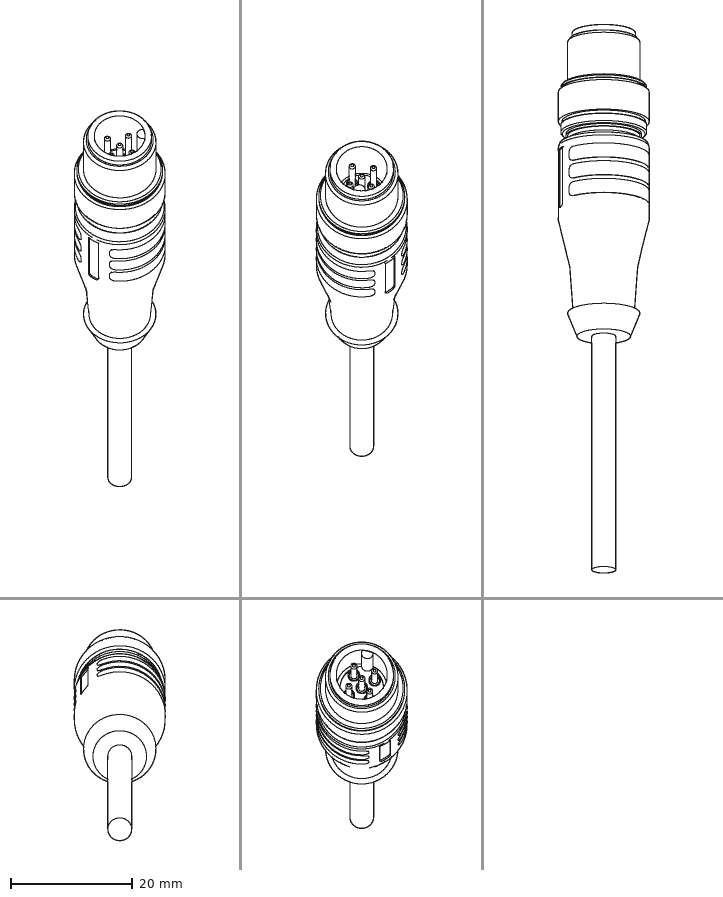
import cadquery as cq
import math

TOTAL_HEIGHT = 92.0
CABLE_RADIUS = 4.0 / 2

GRIP_RADIUS = 15.0 / 2
GRIP_TOP = 73.0
GRIP_BOTTOM = 60.0
GRIP_EDGE_WIDTH = 0.2
GRIP_EDGE_HEIGHT = 0.55

TAPER_END_RADIUS = 5.6
TAPER_END_Z = 52.0
FLARE_NECK_RADIUS = 5.1
FLARE_RADIUS = 6.0
FLARE_TOP = 44.0
FLARE_BOTTOM_RADIUS = 4.4
FLARE_BOTTOM = 40.0

NECK_RADIUS = 4.8
FLANGE_RADIUS = 6.0
FLANGE_BOTTOM = 73.7
FLANGE_STEP_RADIUS = 6.3
FLANGE_STEP_Z = 74.3

RING_RADIUS = GRIP_RADIUS
RING_TOP = 81.9
RING_BOTTOM = 76.8
COLLAR_RADIUS = 7.1
COLLAR_TOP = 83.1
COLLAR_BOTTOM = 74.7
COLLAR_CHAMFER = 0.3
COLLAR_GROOVE_RADIUS = 6.9
COLLAR_GROOVE_HEIGHT = 0.55

SLEEVE_RADIUS = 6.0
SHOULDER_BOTTOM = 90.4
SHOULDER_TOP_RADIUS = 5.5
TIP_RADIUS = 5.2
TIP_BOTTOM = 91.0
BORE_RADIUS = 8.4 / 2
BORE_FLOOR = 83.2
FLOOR_STEP_RADIUS = 3.6
FLOOR_STEP_HEIGHT = 0.5
INSERT_TOP = BORE_FLOOR + FLOOR_STEP_HEIGHT
EMBED_DEPTH = 0.9

PIN_RADIUS = 0.51
PIN_TOP = 89.7
PIN_TIP_CHAMFER = 0.3
PIN_SPACING = 2.5
PIN_SEAT_RADIUS = 1.9 / 2
PIN_SEAT_DEPTH = 0.5
PIN_SEAT_CHAMFER = 0.2
KEY_RADIUS = 1.9 / 2
KEY_TOP = 91.7
KEY_ANGLE = 45.0
KEY_OFFSET = 3.9

GROOVE_FLOOR_RADIUS = 7.0
GROOVE_COUNT = 3
GROOVE_PITCH = 3.0
GROOVE_HEIGHT = 2.4
GROOVE_TOP_CENTER_Z = 69.8
GROOVE_END_X = 2.85
GROOVE_END_ROUND = 0.9
GROOVE_FLOOR_FILLET = 0.3

MARKER_WIDTH = 2.0
MARKER_TOP = 71.7
MARKER_BOTTOM = 61.55
MARKER_CORNER_RADIUS = 0.6
MARKER_DEPTH = 0.3


def cylinder(radius, bottom, top, x=0.0, y=0.0):
    """Vertical cylinder between two heights."""
    return cq.Workplane("XY", origin=(x, y, bottom)).circle(radius).extrude(top - bottom)


def turned_body():
    """Cable, strain relief, grip, ring and sleeve as one revolved profile."""
    profile = [
        (0, 0),
        (CABLE_RADIUS, 0),
        (CABLE_RADIUS, FLARE_BOTTOM),
        (FLARE_BOTTOM_RADIUS, FLARE_BOTTOM),
        (FLARE_RADIUS, FLARE_TOP),
        (FLARE_NECK_RADIUS, FLARE_TOP),
        (TAPER_END_RADIUS, TAPER_END_Z),
        (GRIP_RADIUS, GRIP_BOTTOM),
        (GRIP_RADIUS, GRIP_TOP - GRIP_EDGE_HEIGHT),
        (GRIP_RADIUS - GRIP_EDGE_WIDTH, GRIP_TOP),
        (NECK_RADIUS, GRIP_TOP),
        (NECK_RADIUS, FLANGE_BOTTOM),
        (FLANGE_RADIUS, FLANGE_BOTTOM),
        (FLANGE_RADIUS, FLANGE_STEP_Z),
        (FLANGE_STEP_RADIUS, FLANGE_STEP_Z),
        (FLANGE_STEP_RADIUS, COLLAR_BOTTOM),
        (COLLAR_RADIUS - COLLAR_CHAMFER, COLLAR_BOTTOM),
        (COLLAR_RADIUS, COLLAR_BOTTOM + COLLAR_CHAMFER),
        (COLLAR_RADIUS, RING_BOTTOM - COLLAR_GROOVE_HEIGHT),
        (COLLAR_GROOVE_RADIUS, RING_BOTTOM - COLLAR_GROOVE_HEIGHT),
        (COLLAR_GROOVE_RADIUS, RING_BOTTOM),
        (RING_RADIUS, RING_BOTTOM),
        (RING_RADIUS, RING_TOP),
        (COLLAR_GROOVE_RADIUS, RING_TOP),
        (COLLAR_GROOVE_RADIUS, RING_TOP + COLLAR_GROOVE_HEIGHT),
        (COLLAR_RADIUS, RING_TOP + COLLAR_GROOVE_HEIGHT),
        (COLLAR_RADIUS, COLLAR_TOP - COLLAR_CHAMFER),
        (COLLAR_RADIUS - COLLAR_CHAMFER, COLLAR_TOP),
        (SLEEVE_RADIUS, COLLAR_TOP),
        (SLEEVE_RADIUS, SHOULDER_BOTTOM),
        (SHOULDER_TOP_RADIUS, TIP_BOTTOM),
        (TIP_RADIUS, TIP_BOTTOM),
        (TIP_RADIUS, TOTAL_HEIGHT),
        (0, TOTAL_HEIGHT),
    ]
    return cq.Workplane("XZ").polyline(profile).close().revolve(360, (0, 0, 0), (0, 1, 0))


def finger_groove(side, center_z):
    """Cutter that wraps one side of the grip, with rounded ends and a filleted floor."""
    bottom = center_z - GROOVE_HEIGHT / 2
    top = center_z + GROOVE_HEIGHT / 2
    length = GRIP_RADIUS
    slot = (
        cq.Workplane("XY")
        .box(length, 4 * GRIP_RADIUS, GROOVE_HEIGHT)
        .edges("|Y")
        .edges("<X" if side > 0 else ">X")
        .fillet(GROOVE_END_ROUND)
        .translate((side * (GROOVE_END_X + length / 2), 0, center_z))
    )
    band = cylinder(GRIP_RADIUS, bottom, top).cut(cylinder(GROOVE_FLOOR_RADIUS, bottom, top))
    groove = band.intersect(slot)
    floor = groove.faces(cq.NearestToPointSelector((0, 0, center_z)))
    return floor.edges().fillet(GROOVE_FLOOR_FILLET)


def marker_slot(side):
    """Shallow flat-floored slot along the grip with rounded lower corners."""
    height = MARKER_TOP - MARKER_BOTTOM
    return (
        cq.Workplane("XY")
        .box(MARKER_WIDTH, 2 * MARKER_DEPTH, height)
        .edges("|Y")
        .edges("<Z")
        .fillet(MARKER_CORNER_RADIUS)
        .translate((0, side * GRIP_RADIUS, MARKER_BOTTOM + height / 2))
    )


def pin_seat(x, y):
    """Round recess around a contact, chamfered at its floor."""
    seat = cylinder(PIN_SEAT_RADIUS, INSERT_TOP - PIN_SEAT_DEPTH, INSERT_TOP, x, y)
    return seat.faces("<Z").chamfer(PIN_SEAT_CHAMFER)


def contact_pin(x, y):
    """Contact with a chamfered tip, rooted below the bore floor."""
    pin = cylinder(PIN_RADIUS, BORE_FLOOR - EMBED_DEPTH, PIN_TOP, x, y)
    return pin.faces(">Z").chamfer(PIN_TIP_CHAMFER)


def coding_key():
    """Round rib on the bore wall."""
    x = KEY_OFFSET * math.cos(math.radians(KEY_ANGLE))
    y = KEY_OFFSET * math.sin(math.radians(KEY_ANGLE))
    return cylinder(KEY_RADIUS, BORE_FLOOR - EMBED_DEPTH, KEY_TOP, x, y)


body = turned_body()

for side in (-1, 1):
    for index in range(GROOVE_COUNT):
        body = body.cut(finger_groove(side, GROOVE_TOP_CENTER_Z - index * GROOVE_PITCH))
    body = body.cut(marker_slot(side))

body = body.cut(cylinder(BORE_RADIUS, BORE_FLOOR, TOTAL_HEIGHT))
body = body.union(cylinder(FLOOR_STEP_RADIUS, BORE_FLOOR - EMBED_DEPTH, INSERT_TOP))

pin_places = [(0, 0), (PIN_SPACING, 0), (-PIN_SPACING, 0), (0, PIN_SPACING), (0, -PIN_SPACING)]
for x, y in pin_places:
    body = body.cut(pin_seat(x, y))
    body = body.union(contact_pin(x, y))

result = body.union(coding_key())